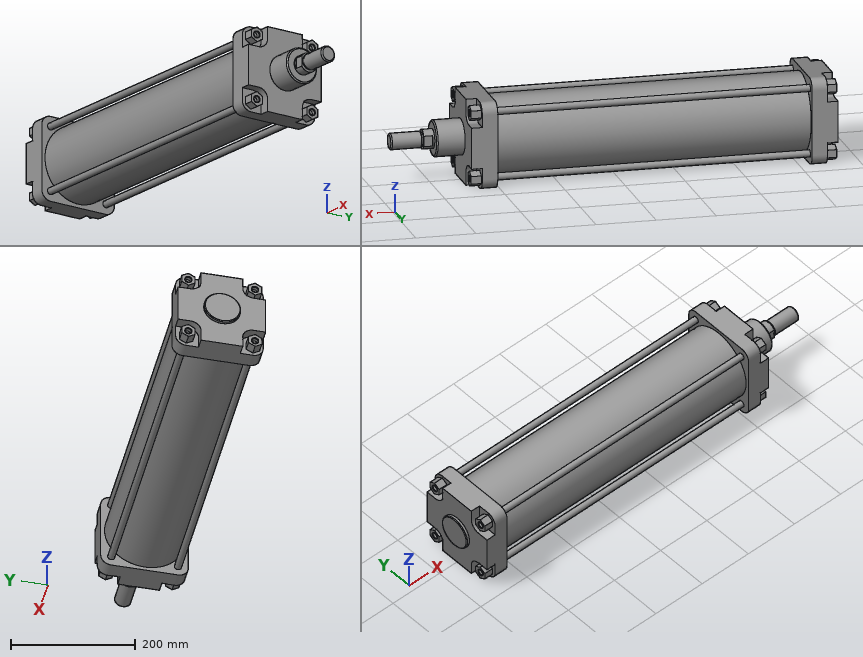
import cadquery as cq
import math

TOTAL_LENGTH = 735.0

CAP_WIDTH = 145.0
CAP_THICKNESS = 43.0
REAR_CAP_START = 6.0
FRONT_CAP_END = 616.0
POCKET_DEPTH = 18.0
POCKET_INNER_OFFSET = 34.5
POCKET_CORNER_RADIUS = 18.0
BOSS_RADIUS = 30.0
REAR_BOSS_CHAMFER = 1.5
COLLAR_END = 663.0
COLLAR_CHAMFER = 2.0

BARREL_RADIUS = 66.0

TIE_OFFSET = 55.0
TIE_RADIUS = 6.0
NUT_ACROSS_FLATS = 22.0
NUT_HEIGHT = 17.0
RECESS_RADIUS = 6.0
RECESS_DEPTH = 1.5
SOCKET_RADIUS = 5.0
SOCKET_DEPTH = 7.0

ROD_RADIUS = 16.0
WRENCH_START = 666.0
WRENCH_ACROSS_FLATS = 27.0
SHOULDER_END = 680.5
NECK_RADIUS = 12.0
THREAD_START = 683.5
THREAD_RADIUS = WRENCH_ACROSS_FLATS / 2
THREAD_CHAMFER = 2.0

REAR_CAP_END = REAR_CAP_START + CAP_THICKNESS
FRONT_CAP_START = FRONT_CAP_END - CAP_THICKNESS
CAP_CORNER_RADIUS = CAP_WIDTH / 2 - TIE_OFFSET
CORNERS = [(y, z) for y in (-TIE_OFFSET, TIE_OFFSET) for z in (-TIE_OFFSET, TIE_OFFSET)]


def plane_at(x):
    """Work plane across the cylinder axis: local x is +Y, local y is +Z, extrusion is +X."""
    return cq.Workplane("YZ", origin=(x, 0, 0))


def rod_along_x(start, end, radius, y=0.0, z=0.0):
    return plane_at(start).center(y, z).circle(radius).extrude(end - start)


def corner_pockets(start):
    """Four nut pockets, open to the sides, rounded on the inner corner."""
    size = CAP_WIDTH / 2 - POCKET_INNER_OFFSET
    middle = POCKET_INNER_OFFSET + size / 2
    pockets = cq.Workplane("YZ")
    for side_y in (-1, 1):
        for side_z in (-1, 1):
            block = plane_at(start).center(side_y * middle, side_z * middle).rect(size, size)
            block = block.extrude(POCKET_DEPTH)
            inner_edge = cq.selectors.NearestToPointSelector(
                (start + POCKET_DEPTH / 2, side_y * POCKET_INNER_OFFSET, side_z * POCKET_INNER_OFFSET)
            )
            pockets = pockets.add(block.edges("|X").edges(inner_edge).fillet(POCKET_CORNER_RADIUS))
    return pockets.combine()


def cap_block(start, pocket_start):
    """Square plate with rounded corners, nut pockets and tie rod holes."""
    block = plane_at(start).rect(CAP_WIDTH, CAP_WIDTH).extrude(CAP_THICKNESS)
    block = block.edges("|X").fillet(CAP_CORNER_RADIUS)
    block = block.cut(corner_pockets(pocket_start))
    holes = plane_at(start).pushPoints(CORNERS).circle(TIE_RADIUS).extrude(CAP_THICKNESS)
    return block.cut(holes)


def make_rear_cap():
    boss = rod_along_x(0, REAR_CAP_START, BOSS_RADIUS)
    boss = boss.faces("<X").chamfer(REAR_BOSS_CHAMFER)
    return cap_block(REAR_CAP_START, REAR_CAP_START).union(boss)


def make_front_cap():
    collar = rod_along_x(FRONT_CAP_END, COLLAR_END, BOSS_RADIUS)
    collar = collar.faces(">X").chamfer(COLLAR_CHAMFER)
    cap = cap_block(FRONT_CAP_START, FRONT_CAP_END - POCKET_DEPTH).union(collar)
    return cap.cut(rod_along_x(FRONT_CAP_START, COLLAR_END, ROD_RADIUS))


def make_barrel():
    return rod_along_x(REAR_CAP_END, FRONT_CAP_START, BARREL_RADIUS)


def make_nut(floor, direction, y, z):
    """Hexagonal nut standing on a pocket floor, with two corners pointing along Z.

    Its outer face has a stepped centre hole.
    """
    corner_radius = NUT_ACROSS_FLATS / math.sqrt(3)
    base = cq.Workplane(cq.Plane((floor, y, z), xDir=(0, 0, 1), normal=(direction, 0, 0)))
    hexagon = base.polygon(6, 2 * corner_radius).extrude(NUT_HEIGHT)
    face = base.workplane(offset=NUT_HEIGHT)
    recess = face.circle(RECESS_RADIUS).extrude(-RECESS_DEPTH)
    socket = face.circle(SOCKET_RADIUS).extrude(-SOCKET_DEPTH)
    return hexagon.cut(recess).cut(socket)


def make_tie_rod(y, z):
    """Tie rod running through both caps, with a nut on each end."""
    rear_floor = REAR_CAP_START + POCKET_DEPTH
    front_floor = FRONT_CAP_END - POCKET_DEPTH
    shank = rod_along_x(rear_floor, front_floor, TIE_RADIUS, y, z)
    rear_nut = make_nut(rear_floor, -1, y, z)
    front_nut = make_nut(front_floor, 1, y, z)
    return shank.union(rear_nut).union(front_nut)


def make_piston_rod():
    """Rod with wrench flats facing -Y and +Y, a neck and a threaded end."""
    shank = rod_along_x(FRONT_CAP_START, WRENCH_START, ROD_RADIUS)
    wrench_length = SHOULDER_END - WRENCH_START
    wrench_slab = plane_at(WRENCH_START).rect(WRENCH_ACROSS_FLATS, 2 * ROD_RADIUS).extrude(wrench_length)
    shoulder = rod_along_x(WRENCH_START, SHOULDER_END, ROD_RADIUS).intersect(wrench_slab)
    neck = rod_along_x(SHOULDER_END, THREAD_START, NECK_RADIUS)
    thread = rod_along_x(THREAD_START, TOTAL_LENGTH, THREAD_RADIUS)
    thread = thread.faces(">X").chamfer(THREAD_CHAMFER)
    return shank.union(shoulder).union(neck).union(thread)


rear_cap = make_rear_cap()
front_cap = make_front_cap()
barrel = make_barrel()
piston_rod = make_piston_rod()
tie_rods = [make_tie_rod(y, z) for y, z in CORNERS]

result = cq.Compound.makeCompound(
    [rear_cap.val(), front_cap.val(), barrel.val(), piston_rod.val(), *[tie.val() for tie in tie_rods]]
)